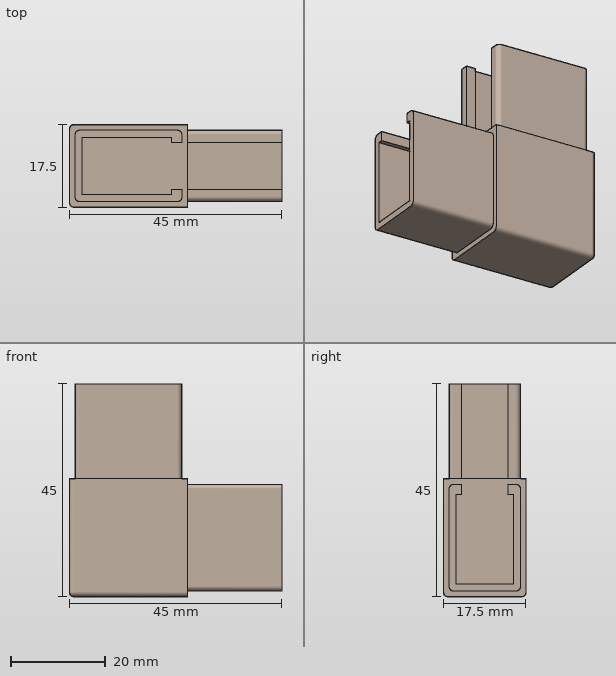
import cadquery as cq

block_size = 25.0
block_width = 17.5
arm_length = 20.0
shoulder = 1.2
wall = 1.5
lip_thickness = 2.2
opening_width = 9.9
edge_radius = 1.0

arm_depth = block_size - 2 * shoulder
arm_width = block_width - 2 * shoulder
arm_back = shoulder
cavity_depth = arm_depth - wall - lip_thickness
cavity_width = arm_width - 2 * wall


def rounded_block():
    """Solid corner block, rounded on its outer (-X and -Z) sides only."""
    block = cq.Workplane("XY").box(
        block_size, block_width, block_size, centered=(False, True, False)
    )
    return block.faces("<X or <Z").edges("not(>X or >Z)").fillet(edge_radius)


def arm_box(x_start, depth, width):
    """Box over the block's top face, as tall as an arm, centred on Y."""
    return (
        cq.Workplane("XY")
        .box(depth, width, arm_length, centered=(False, True, False))
        .translate((x_start, 0, block_size))
    )


def upright_arm():
    """Channel arm pointing up, with its lipped opening facing +X."""
    body = arm_box(arm_back, arm_depth, arm_width).edges("|Z").fillet(edge_radius)
    cavity = arm_box(arm_back + wall, cavity_depth, cavity_width)
    opening = arm_box(arm_back + wall, arm_depth - wall, opening_width)
    return body.cut(cavity).cut(opening)


def swap_x_and_z(shape):
    """Turn an upright arm into a level one; the arm is symmetric about the XZ plane."""
    return shape.rotate((0, 0, 0), (1, 0, 1), 180)


arm_up = upright_arm()
arm_level = swap_x_and_z(arm_up)

result = rounded_block().union(arm_up).union(arm_level)